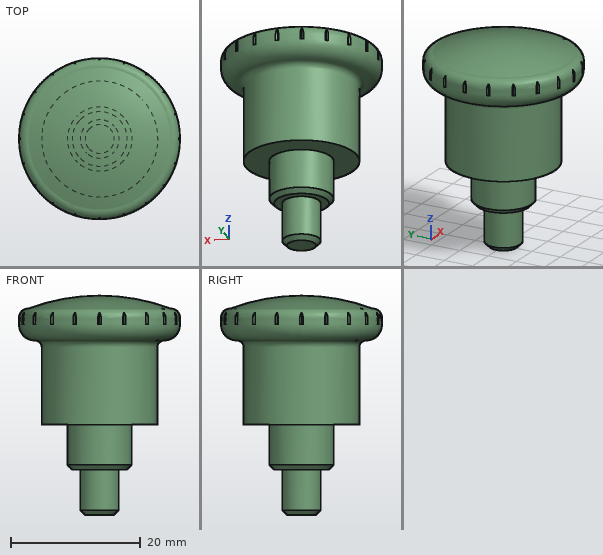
import cadquery as cq
import math

pin_length = 7.0
collar_length = 7.0
shank_length = 12.0
neck_fillet = 1.0
lower_rim_radius = 2.5
band_height = 1.0
upper_rim_radius = 1.5
dome_height = 2.0

head_diameter = 25.0
collar_diameter = 10.0
pin_diameter = 6.0

end_chamfer = 0.75

groove_count = 20
groove_depth = 0.25
groove_overshoot = 0.17

collar_bottom = pin_length
shank_bottom = collar_bottom + collar_length
neck_bottom = shank_bottom + shank_length
head_bottom = neck_bottom + neck_fillet
band_bottom = head_bottom + lower_rim_radius
band_top = band_bottom + band_height
dome_edge = band_top + upper_rim_radius
dome_top = dome_edge + dome_height

head_radius = head_diameter / 2
neck_top_radius = head_radius - lower_rim_radius
shank_radius = neck_top_radius - neck_fillet
dome_edge_radius = head_radius - upper_rim_radius


def arc_point(center_x, center_z, radius, angle):
    """Point on a circle, with the angle in degrees from the +X direction."""
    turn = math.radians(angle)
    return (center_x + radius * math.cos(turn), center_z + radius * math.sin(turn))


def dome_arc_middle():
    """Point halfway along the dome arc, between its edge and its top."""
    sphere_radius = (dome_edge_radius**2 + dome_height**2) / (2 * dome_height)
    half_angle = math.asin(dome_edge_radius / sphere_radius) / 2
    sphere_center = dome_top - sphere_radius
    return (sphere_radius * math.sin(half_angle), sphere_center + sphere_radius * math.cos(half_angle))


def make_knob_blank():
    """Shank, flared neck, rounded head and dome, revolved about Z."""
    neck_middle = arc_point(neck_top_radius, neck_bottom, neck_fillet, 135)
    lower_rim_middle = arc_point(neck_top_radius, band_bottom, lower_rim_radius, -45)
    upper_rim_middle = arc_point(dome_edge_radius, band_top, upper_rim_radius, 45)
    return (
        cq.Workplane("XZ")
        .moveTo(0, shank_bottom)
        .lineTo(shank_radius, shank_bottom)
        .lineTo(shank_radius, neck_bottom)
        .threePointArc(neck_middle, (neck_top_radius, head_bottom))
        .threePointArc(lower_rim_middle, (head_radius, band_bottom))
        .lineTo(head_radius, band_top)
        .threePointArc(upper_rim_middle, (dome_edge_radius, dome_edge))
        .threePointArc(dome_arc_middle(), (0, dome_top))
        .close()
        .revolve(360, (0, 0), (0, 1))
    )


def make_groove_cutter():
    """Upright V prism at +X; it runs out through the rounded upper rim."""
    root_x = head_radius - groove_depth
    outer_x = head_radius + groove_overshoot
    half_width = outer_x - root_x
    return (
        cq.Workplane("XY", origin=(0, 0, band_bottom))
        .polyline([(root_x, 0), (outer_x, -half_width), (outer_x, half_width)])
        .close()
        .extrude(dome_edge - band_bottom)
    )


def make_knob():
    knob = make_knob_blank()
    cutter = make_groove_cutter()
    for index in range(groove_count):
        angle = index * 360 / groove_count
        knob = knob.cut(cutter.rotate((0, 0, 0), (0, 0, 1), angle))
    return knob


def make_chamfered_cylinder(diameter, bottom, length):
    """Upright cylinder with a chamfered lower end."""
    return (
        cq.Workplane("XY", origin=(0, 0, bottom))
        .circle(diameter / 2)
        .extrude(length)
        .faces("<Z")
        .chamfer(end_chamfer)
    )


def make_plunger():
    """Collar and pin in one piece, butting against the underside of the shank."""
    collar = make_chamfered_cylinder(collar_diameter, collar_bottom, collar_length)
    pin = make_chamfered_cylinder(pin_diameter, 0, pin_length)
    return collar.union(pin)


knob = make_knob()
plunger = make_plunger()

result = cq.Compound.makeCompound([knob.solids().val(), plunger.solids().val()])